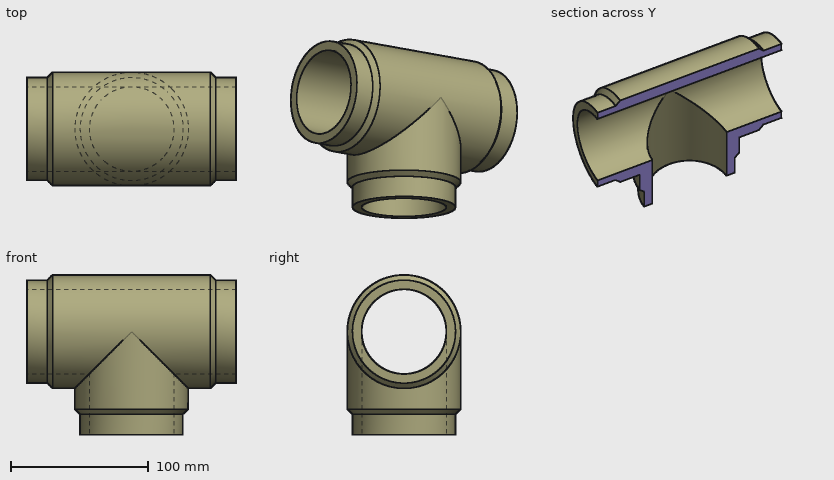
import cadquery as cq

run_length = 152.0
overall_height = 116.3
body_diameter = 82.5
spigot_diameter = 75.0
bore_diameter = 61.4
spigot_length = 14.9

body_radius = body_diameter / 2
spigot_radius = spigot_diameter / 2
shoulder_length = body_radius - spigot_radius

half_run = run_length / 2
branch_length = overall_height - body_radius


def pipe_arm(length):
    """Solid arm from the origin along +Z, stepped down to a spigot at its end."""
    shoulder_end = length - spigot_length
    shoulder_start = shoulder_end - shoulder_length
    return (
        cq.Workplane("XZ")
        .lineTo(body_radius, 0)
        .lineTo(body_radius, shoulder_start)
        .lineTo(spigot_radius, shoulder_end)
        .lineTo(spigot_radius, length)
        .lineTo(0, length)
        .close()
        .revolve(360, (0, 0, 0), (0, 1, 0))
    )


def bore(length):
    """Cylinder from the origin along +Z that clears the inside of an arm."""
    return cq.Workplane("XY").circle(bore_diameter / 2).extrude(length)


def place_on_tee(make_arm):
    """Join two opposite run arms and the branch arm made by the given function."""
    run_arm = make_arm(half_run)
    right_arm = run_arm.rotate((0, 0, 0), (0, 1, 0), 90)
    left_arm = run_arm.rotate((0, 0, 0), (0, 1, 0), -90)
    branch_arm = make_arm(branch_length).rotate((0, 0, 0), (0, 1, 0), 180)
    return right_arm.union(left_arm).union(branch_arm)


result = place_on_tee(pipe_arm).cut(place_on_tee(bore)).clean()